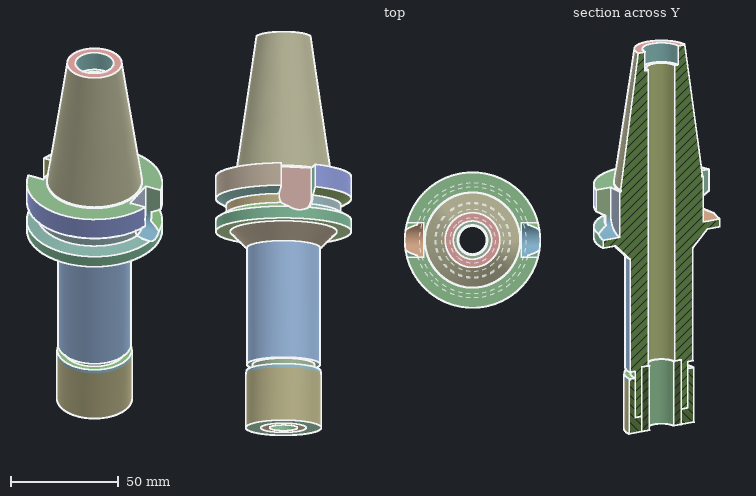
import cadquery as cq

total_height = 185.4
nut_top = 26.9
shank_bottom = 30.0
shank_top = 85.3
flange_bottom = 93.0
lower_rim_top = 98.6
groove_bottom = 101.5
groove_top = 105.7
upper_rim_bottom = 108.6
flange_top = 119.2
taper_bottom = 120.0

flange_radius = 31.5
groove_radius = 26.7
shank_radius = 17.0
shoulder_radius = shank_radius + (flange_bottom - shank_top)
nose_radius = 14.5
nut_radius = 17.6

taper_large_radius = 22.2
taper_slope = 7 / 24 / 2
taper_small_radius = taper_large_radius - taper_slope * (total_height - taper_bottom)
relief_radius = taper_large_radius - 0.28

collet_bore_radius = 6.5
through_bore_radius = 7.0
counterbore_radius = 8.9
counterbore_depth = 9.3

slot_width = 16.1
slot_floor_x = 22.6
slot_bottom = 97.1

nut_wall_bottom = 7.5
nut_chamfer_height = 1.9
nut_chamfer_width = 0.28
collet_radius = 10.5
collet_length = 31.5


def revolve_about_z(points):
    """Revolve a closed (radius, height) outline about the Z axis."""
    return cq.Workplane("XZ").polyline(points).close().revolve(360, (0, 0), (0, 1))


def make_drive_slot(side):
    """Slot cutter open at the flange top, with a round lower end; side is +1 or -1."""
    slot_radius = slot_width / 2
    arc_center_z = slot_bottom + slot_radius
    cutter_depth = flange_radius - slot_floor_x
    return (
        cq.Workplane("YZ", origin=(side * slot_floor_x, 0, 0))
        .moveTo(-slot_radius, flange_top)
        .lineTo(-slot_radius, arc_center_z)
        .threePointArc((0, slot_bottom), (slot_radius, arc_center_z))
        .lineTo(slot_radius, flange_top)
        .close()
        .extrude(side * cutter_depth)
    )


def make_holder():
    """Taper, grooved flange, shank and nose, bored through."""
    counterbore_floor = total_height - counterbore_depth
    body = revolve_about_z([
        (collet_radius, nut_wall_bottom),
        (nose_radius, nut_wall_bottom),
        (nose_radius, shank_bottom),
        (shank_radius, shank_bottom),
        (shank_radius, shank_top),
        (shoulder_radius, flange_bottom),
        (flange_radius, flange_bottom),
        (flange_radius, lower_rim_top),
        (groove_radius, groove_bottom),
        (groove_radius, groove_top),
        (flange_radius, upper_rim_bottom),
        (flange_radius, flange_top),
        (relief_radius, flange_top),
        (relief_radius, taper_bottom),
        (taper_large_radius, taper_bottom),
        (taper_small_radius, total_height),
        (counterbore_radius, total_height),
        (counterbore_radius, counterbore_floor),
        (through_bore_radius, counterbore_floor),
        (through_bore_radius, collet_length),
        (collet_radius, collet_length),
    ])
    for side in (-1, 1):
        body = body.cut(make_drive_slot(side))
    return body


def make_nut():
    """Clamping nut fitted over the holder nose and around the collet."""
    return revolve_about_z([
        (collet_radius, 0),
        (nut_radius, 0),
        (nut_radius, nut_top - nut_chamfer_height),
        (nut_radius - nut_chamfer_width, nut_top),
        (nose_radius, nut_top),
        (nose_radius, nut_wall_bottom),
        (collet_radius, nut_wall_bottom),
    ])


def make_collet():
    """Plain sleeve seated in the holder nose, flush with the nut's lower face."""
    return cq.Workplane("XY").circle(collet_radius).circle(collet_bore_radius).extrude(collet_length)


holder = make_holder()
nut = make_nut()
collet = make_collet()

result = cq.Compound.makeCompound([holder.solids().val(), nut.val(), collet.val()])